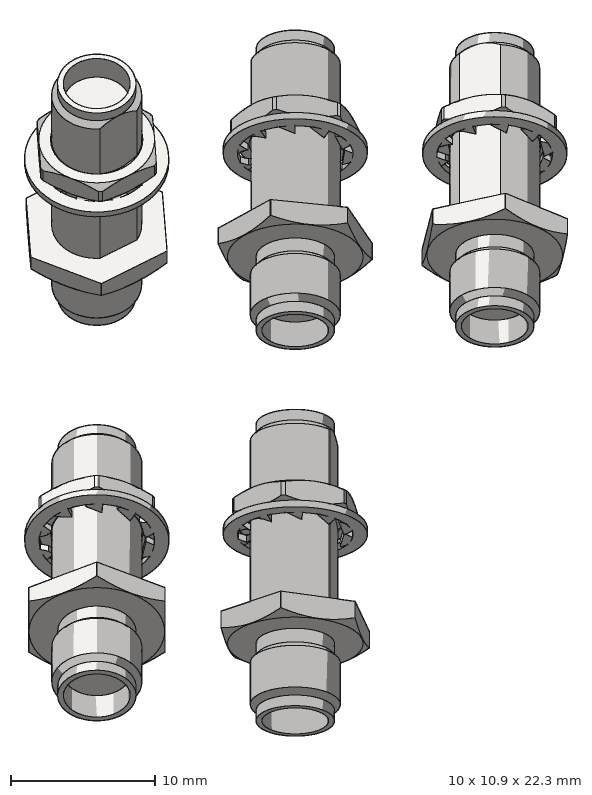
import cadquery as cq
import math


thread_radius = 3.125
neck_radius = 2.72
socket_radius = 2.31
socket_depth = 1.95
top_end = 14.8
bottom_end = -7.5
tip_length = 0.8
chamfer_height = 0.43
relief_length = 1.02
flat_offset = neck_radius

flange_across_flats = 9.46
flange_corner_radius = 5.45
flange_face_radius = 4.7
flange_thickness = 1.68

washer_outer_radius = 5.0
washer_inner_radius = 4.0
washer_thickness = 0.5
washer_bottom = 6.5
tooth_count = 10
tooth_tip_radius = 3.43
tooth_rise = 0.29

nut_across_flats = 8.02
nut_corner_radius = 4.55
nut_face_radius = nut_across_flats / 2
nut_thickness = 1.65
nut_bore_radius = 2.82
nut_bore_mouth_radius = 3.2
nut_bottom = washer_bottom + washer_thickness + tooth_rise

hex_chamfer_slope = math.tan(math.radians(30))


def revolve_profile(points):
    """Revolve an outline of (radius, z) points around the Z axis."""
    return cq.Workplane("XZ").polyline(points).close().revolve(360, (0, 0, 0), (0, 1, 0))


def cylinder(radius, z_bottom, height):
    return cq.Workplane("XY").workplane(offset=z_bottom).circle(radius).extrude(height)


def chamfered_hex(across_flats, corner_radius, face_radius, z_bottom, thickness, chamfer_top):
    """Hex prism with two corners on the Y axis, its corners turned down on the lower or both faces."""
    across_corners = across_flats / math.cos(math.radians(30))
    z_top = z_bottom + thickness
    hexagon = (
        cq.Workplane("XY")
        .workplane(offset=z_bottom)
        .polygon(6, across_corners)
        .extrude(thickness)
        .rotate((0, 0, 0), (0, 0, 1), 30)
    )
    drop = (corner_radius - face_radius) * hex_chamfer_slope
    turned = [(0, z_bottom), (face_radius, z_bottom), (corner_radius, z_bottom + drop)]
    if chamfer_top:
        turned += [(corner_radius, z_top - drop), (face_radius, z_top)]
    else:
        turned += [(corner_radius, z_top)]
    turned += [(0, z_top)]
    return hexagon.intersect(revolve_profile(turned))


def make_body():
    flange_bottom = -flange_thickness
    relief_bottom = flange_bottom - relief_length
    top_shoulder = top_end - tip_length
    bottom_shoulder = bottom_end + tip_length

    upper_barrel = revolve_profile([
        (0, 0),
        (thread_radius, 0),
        (thread_radius, top_shoulder - chamfer_height),
        (neck_radius, top_shoulder),
        (neck_radius, top_end),
        (0, top_end),
    ])
    flat_cutter = (
        cq.Workplane("XY")
        .box(thread_radius, 2 * thread_radius, top_end, centered=(False, True, False))
        .translate((flat_offset, 0, 0))
    )
    lower_barrel = revolve_profile([
        (0, flange_bottom),
        (neck_radius, flange_bottom),
        (neck_radius, relief_bottom),
        (thread_radius, relief_bottom - chamfer_height),
        (thread_radius, bottom_shoulder + chamfer_height),
        (neck_radius, bottom_shoulder),
        (neck_radius, bottom_end),
        (0, bottom_end),
    ])
    flange = chamfered_hex(
        flange_across_flats, flange_corner_radius, flange_face_radius,
        flange_bottom, flange_thickness, chamfer_top=False,
    )
    body = upper_barrel.cut(flat_cutter).union(flange).union(lower_barrel)
    for socket_floor in (top_end - socket_depth, bottom_end):
        body = body.cut(cylinder(socket_radius, socket_floor, socket_depth))
    return body


def make_nut(body):
    """Hex nut whose bore fits the flatted thread and is countersunk at both mouths."""
    nut = chamfered_hex(
        nut_across_flats, nut_corner_radius, nut_face_radius,
        nut_bottom, nut_thickness, chamfer_top=True,
    )
    nut_top = nut_bottom + nut_thickness
    countersink = nut_bore_mouth_radius - nut_bore_radius
    bore = revolve_profile([
        (0, nut_bottom),
        (nut_bore_mouth_radius, nut_bottom),
        (nut_bore_radius, nut_bottom + countersink),
        (nut_bore_radius, nut_top - countersink),
        (nut_bore_mouth_radius, nut_top),
        (0, nut_top),
    ])
    return nut.cut(bore).cut(body)


def make_tooth():
    """Twisted tooth along -Y: flush with the ring at its root, one tip corner raised, the other lowered."""
    half_angle = math.radians(360 / tooth_count / 4)
    half_thickness = washer_thickness / 2
    middle = washer_bottom + half_thickness

    def section(distance, rise):
        half_width = distance * math.tan(half_angle)
        return cq.Wire.makePolygon([
            cq.Vector(-half_width, -distance, middle + rise - half_thickness),
            cq.Vector(half_width, -distance, middle - rise - half_thickness),
            cq.Vector(half_width, -distance, middle - rise + half_thickness),
            cq.Vector(-half_width, -distance, middle + rise + half_thickness),
        ], close=True)

    root = section(washer_inner_radius, 0)
    tip = section(tooth_tip_radius * math.cos(half_angle), tooth_rise)
    return cq.Workplane(cq.Solid.makeLoft([root, tip], True))


def make_washer():
    washer = cylinder(washer_outer_radius, washer_bottom, washer_thickness)
    washer = washer.cut(cylinder(washer_inner_radius, washer_bottom, washer_thickness))
    tooth = make_tooth()
    pitch = 360 / tooth_count
    first_angle = pitch / 4
    for index in range(tooth_count):
        washer = washer.union(tooth.rotate((0, 0, 0), (0, 0, 1), first_angle + index * pitch))
    return washer


connector_body = make_body()
hex_nut = make_nut(connector_body)
lock_washer = make_washer()

bodies = [connector_body, hex_nut, lock_washer]
result = cq.Compound.makeCompound([part.solids().val() for part in bodies])